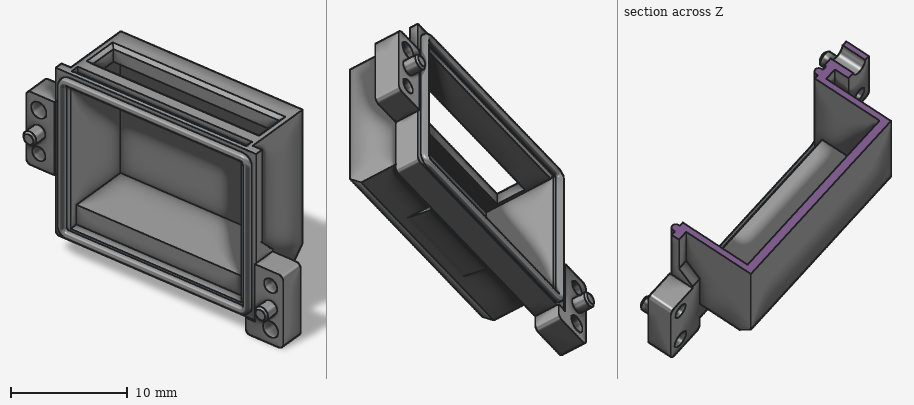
import cadquery as cq


FLANGE_WIDTH = 21.7
HEIGHT = 17.25
FLANGE_DEPTH = 0.83
FLANGE_CORNER_RADIUS = 0.42

BODY_WIDTH = 19.7
BODY_BACK_Y = 7.85
BODY_BOTTOM_Z = 2.2
BODY_CHAMFER = 1.2

THICK_DEPTH = 2.3
RAMP_BOTTOM_Z = 6.2
RAMP_TOP_Z = RAMP_BOTTOM_Z + THICK_DEPTH - FLANGE_DEPTH
RAMP_CLEARANCE = 0.17

CAVITY_WIDTH = 18.47
BACK_WALL = 0.83
FLOOR_Z = 3.28
CEILING_Z = 15.58
OPENING_BOTTOM_Z = 1.25
CEILING_CHAMFER = 0.25

WINDOW_WIDTH = 17.97
WINDOW_FRONT_Y = 2.78
WINDOW_BACK_Y = 5.7
WINDOW_CHAMFER = 0.35
SLOT_WIDTH = 18.85
SLOT_FRONT_Y = 0.45
SLOT_FLOOR_Y = 0.95
SLOT_BACK_Y = 1.28
SLOT_DEPTH = 0.6

BEAD_OUTER_WIDTH = 20.8
BEAD_BOTTOM_Z = 0.25
BEAD_TOP_Z = 16.8
BEAD_WIDTH = 0.75
BEAD_HEIGHT = 0.53
BEAD_OUTER_RADIUS = 1.03

TAB_OUTER_X = 13.9
TAB_HEIGHT = 7.57
TAB_PROUD = 0.17
TAB_CORNER_RADIUS = 0.5
TAB_X = 12.55
LEFT_TAB_Z = 10.0
RIGHT_TAB_Z = 2.17
HOLE_SPACING = 2.25
LARGE_HOLE_DIAMETER = 1.65
SMALL_HOLE_DIAMETER = 1.42
PIN_DIAMETER = 1.42
PIN_FRONT_Y = -1.6
PIN_CHAMFER = 0.2

CATCH_WIDTH = 8.35
CATCH_FRONT_Y = 3.35
CATCH_BACK_Y = 5.8
CATCH_DROP = 0.53


def block(x0, x1, y0, y1, z0, z1):
    """Box between opposite corners."""
    return cq.Workplane("XY").box(x1 - x0, y1 - y0, z1 - z0, centered=False).translate((x0, y0, z0))


def centred_block(width, y0, y1, z0, z1):
    """Box centred on x = 0."""
    return block(-width / 2, width / 2, y0, y1, z0, z1)


def side_prism(points, width):
    """Prism with a (y, z) outline, centred on x = 0."""
    return cq.Workplane("YZ").polyline(points).close().extrude(width / 2, both=True)


def cylinder(x, z, diameter, y0, y1):
    """Cylinder along Y."""
    return cq.Workplane("XZ", origin=(x, y1, z)).circle(diameter / 2).extrude(y1 - y0)


def make_flange():
    """Thin at the top, thick at the bottom."""
    outline = [
        (0, 0),
        (0, HEIGHT),
        (FLANGE_DEPTH, HEIGHT),
        (FLANGE_DEPTH, RAMP_TOP_Z),
        (THICK_DEPTH, RAMP_BOTTOM_Z),
        (THICK_DEPTH, 0),
    ]
    flange = side_prism(outline, FLANGE_WIDTH)
    return flange.edges("|Y and <X and <Z").fillet(FLANGE_CORNER_RADIUS)


def make_body():
    body = centred_block(BODY_WIDTH, 0, BODY_BACK_Y, BODY_BOTTOM_Z, HEIGHT)
    return body.edges(">Y and <Z").chamfer(BODY_CHAMFER)


def make_catch():
    outline = [
        (CATCH_FRONT_Y, BODY_BOTTOM_Z),
        (CATCH_BACK_Y, BODY_BOTTOM_Z),
        (CATCH_FRONT_Y, BODY_BOTTOM_Z - CATCH_DROP),
    ]
    return side_prism(outline, CATCH_WIDTH)


def make_tab(side, centre_z):
    """Drilled tab with its pin; side is -1 (left) or +1 (right)."""
    inner_x = side * BODY_WIDTH / 2
    outer_x = side * TAB_OUTER_X
    tab = block(
        min(inner_x, outer_x),
        max(inner_x, outer_x),
        -TAB_PROUD,
        THICK_DEPTH,
        centre_z - TAB_HEIGHT / 2,
        centre_z + TAB_HEIGHT / 2,
    )
    tab = tab.edges("|Y").fillet(TAB_CORNER_RADIUS)
    tab = tab.cut(centred_block(FLANGE_WIDTH, -TAB_PROUD, 0, 0, HEIGHT))

    relief = [
        (FLANGE_DEPTH, HEIGHT),
        (FLANGE_DEPTH, RAMP_TOP_Z),
        (THICK_DEPTH, RAMP_BOTTOM_Z),
        (THICK_DEPTH, HEIGHT),
    ]
    tab = tab.cut(side_prism(relief, FLANGE_WIDTH + 2 * RAMP_CLEARANCE))

    x = side * TAB_X
    holes = [
        (centre_z - side * HOLE_SPACING, LARGE_HOLE_DIAMETER),
        (centre_z + side * HOLE_SPACING, SMALL_HOLE_DIAMETER),
    ]
    for hole_z, diameter in holes:
        tab = tab.cut(cylinder(x, hole_z, diameter, -TAB_PROUD, THICK_DEPTH))
    pin = cylinder(x, centre_z, PIN_DIAMETER, PIN_FRONT_Y, 0)
    return tab.union(pin.faces("<Y").chamfer(PIN_CHAMFER))


def make_bead():
    """Rounded rectangular ring with a semicircular crest."""
    height = BEAD_TOP_Z - BEAD_BOTTOM_Z
    half = BEAD_WIDTH / 2
    path = (
        cq.Workplane("XZ", origin=(0, 0, BEAD_BOTTOM_Z + height / 2))
        .rect(BEAD_OUTER_WIDTH - BEAD_WIDTH, height - BEAD_WIDTH)
        .extrude(BEAD_HEIGHT)
        .edges("|Y")
        .fillet(BEAD_OUTER_RADIUS - half)
        .faces(">Y")
        .wires()
    )
    middle_z = BEAD_TOP_Z - half
    shoulder_y = half - BEAD_HEIGHT
    profile = (
        cq.Workplane("YZ")
        .moveTo(0, middle_z - half)
        .lineTo(shoulder_y, middle_z - half)
        .threePointArc((-BEAD_HEIGHT, middle_z), (shoulder_y, middle_z + half))
        .lineTo(0, middle_z + half)
        .close()
    )
    return profile.sweep(path, transition="right")


def make_cavity():
    main = centred_block(CAVITY_WIDTH, 0, BODY_BACK_Y - BACK_WALL, FLOOR_Z, CEILING_Z)
    mouth = centred_block(CAVITY_WIDTH, 0, FLANGE_DEPTH, OPENING_BOTTOM_Z, FLOOR_Z)
    flare = side_prism(
        [(0, CEILING_Z), (0, CEILING_Z + CEILING_CHAMFER), (CEILING_CHAMFER, CEILING_Z)],
        CAVITY_WIDTH,
    )
    return main.union(mouth).union(flare)


def make_window():
    throat = centred_block(WINDOW_WIDTH, WINDOW_FRONT_Y, WINDOW_BACK_Y, CEILING_Z, HEIGHT)
    rim = (
        cq.Workplane("XY", origin=(0, (WINDOW_FRONT_Y + WINDOW_BACK_Y) / 2, HEIGHT))
        .rect(WINDOW_WIDTH + 2 * WINDOW_CHAMFER, WINDOW_BACK_Y - WINDOW_FRONT_Y + 2 * WINDOW_CHAMFER)
        .extrude(-WINDOW_CHAMFER, taper=45)
    )
    return throat.union(rim)


def make_slot():
    outline = [
        (SLOT_FRONT_Y, HEIGHT),
        (SLOT_FLOOR_Y, HEIGHT - SLOT_DEPTH),
        (SLOT_BACK_Y, HEIGHT - SLOT_DEPTH),
        (SLOT_BACK_Y, HEIGHT),
    ]
    return side_prism(outline, SLOT_WIDTH)


result = (
    make_flange()
    .union(make_body())
    .union(make_tab(-1, LEFT_TAB_Z))
    .union(make_tab(1, RIGHT_TAB_Z))
    .union(make_catch())
    .union(make_bead())
    .cut(make_cavity())
    .cut(make_window())
    .cut(make_slot())
)